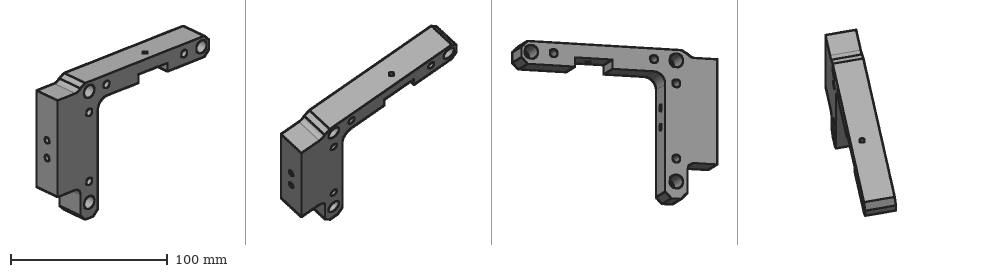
import cadquery as cq
import math

width = 20.0
length = 131.0
height = 97.0

bar_depth = 14.9
arm_bottom = height - bar_depth
leg_front = 19.9
leg_back = leg_front + bar_depth
end_chamfer = 4.0
inner_radius = 8.0

block_top = 92.4
block_bottom = 23.8
block_radius = 5.0

shoulder_back = 24.0
shoulder_edge_y = 19.6
shoulder_edge_z = 94.6
shoulder_foot = 15.2

notch_centre = 82.5
notch_length = 25.0
notch_depth = 6.0

large_diameter = 8.9
small_diameter = 5.1
hole_spacing = 14.9
arm_hole_z = 90.0
arm_end_hole_y = 124.5
leg_hole_y = leg_front + bar_depth / 2
leg_end_hole_z = 11.1

block_hole_diameter = 4.3
block_hole_heights = (48.0, 60.5)

arm_hole_diameter = 3.3
arm_hole_offset = 2.5


def shoulder_arc_middle():
    """Middle of the arc that meets the block top tangentially at the shoulder foot."""
    run = shoulder_edge_y - shoulder_foot
    rise = shoulder_edge_z - block_top
    sweep = 2 * math.atan2(rise, run)
    radius = run / math.sin(sweep)
    return (
        shoulder_foot + radius * math.sin(sweep / 2),
        block_top + radius * (1 - math.cos(sweep / 2)),
    )


def fillet_middle(corner_y, corner_z, radius, side_y, side_z):
    """Middle of a fillet arc in a square corner; the sides point into the open space."""
    inset = radius * (1 - math.sqrt(0.5))
    return corner_y + side_y * inset, corner_z + side_z * inset


def make_body():
    profile = (
        cq.Workplane("YZ", origin=(-width / 2, 0, 0))
        .moveTo(0, block_bottom)
        .lineTo(0, block_top)
        .lineTo(shoulder_foot, block_top)
        .threePointArc(shoulder_arc_middle(), (shoulder_edge_y, shoulder_edge_z))
        .lineTo(shoulder_back, height)
        .lineTo(length - end_chamfer, height)
        .lineTo(length, height - end_chamfer)
        .lineTo(length, arm_bottom + end_chamfer)
        .lineTo(length - end_chamfer, arm_bottom)
        .lineTo(leg_back + inner_radius, arm_bottom)
        .threePointArc(
            fillet_middle(leg_back, arm_bottom, inner_radius, 1, -1),
            (leg_back, arm_bottom - inner_radius),
        )
        .lineTo(leg_back, end_chamfer)
        .lineTo(leg_back - end_chamfer, 0)
        .lineTo(leg_front + end_chamfer, 0)
        .lineTo(leg_front, end_chamfer)
        .lineTo(leg_front, block_bottom - block_radius)
        .threePointArc(
            fillet_middle(leg_front, block_bottom, block_radius, -1, -1),
            (leg_front - block_radius, block_bottom),
        )
        .close()
    )
    return profile.extrude(width)


def make_notch():
    return (
        cq.Workplane("XY", origin=(0, notch_centre, arm_bottom))
        .rect(width, notch_length)
        .extrude(notch_depth)
    )


def make_cross_holes(diameter, centres):
    return (
        cq.Workplane("YZ", origin=(-width / 2, 0, 0))
        .pushPoints(centres)
        .circle(diameter / 2)
        .extrude(width)
    )


def make_block_holes():
    return (
        cq.Workplane("XZ")
        .pushPoints([(0, z) for z in block_hole_heights])
        .circle(block_hole_diameter / 2)
        .extrude(-leg_back)
    )


def make_arm_hole():
    return (
        cq.Workplane("XY", origin=(arm_hole_offset, notch_centre, arm_bottom))
        .circle(arm_hole_diameter / 2)
        .extrude(bar_depth)
    )


large_centres = [
    (arm_end_hole_y, arm_hole_z),
    (leg_hole_y, arm_hole_z),
    (leg_hole_y, leg_end_hole_z),
]
small_centres = [
    (arm_end_hole_y - hole_spacing, arm_hole_z),
    (leg_hole_y + hole_spacing, arm_hole_z),
    (leg_hole_y, arm_hole_z - hole_spacing),
    (leg_hole_y, leg_end_hole_z + hole_spacing),
]

result = (
    make_body()
    .cut(make_notch())
    .cut(make_cross_holes(large_diameter, large_centres))
    .cut(make_cross_holes(small_diameter, small_centres))
    .cut(make_block_holes())
    .cut(make_arm_hole())
)